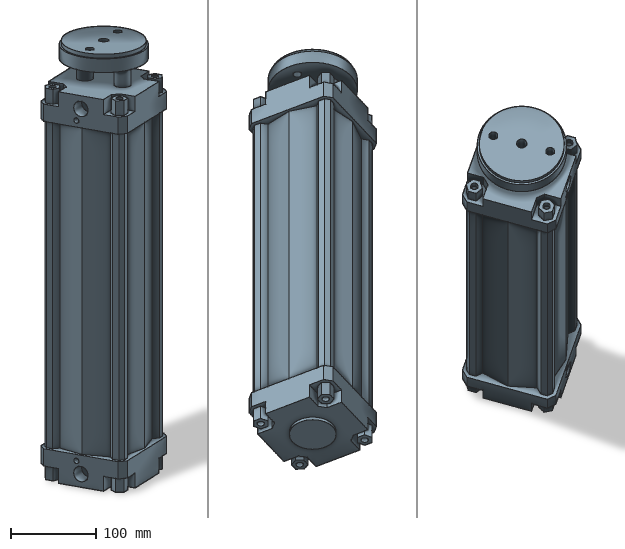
import cadquery as cq
import math

total_height = 543.0
boss_height = 4.0
cap_height = 40.0
rod_gap = 29.4
plate_thickness = 22.0
plate_bottom = total_height - plate_thickness
upper_cap_top = plate_bottom - rod_gap
upper_cap_bottom = upper_cap_top - cap_height
lower_cap_bottom = boss_height
lower_cap_top = lower_cap_bottom + cap_height
barrel_length = upper_cap_bottom - lower_cap_top

cap_width = 115.0
cap_chamfer = 8.0
boss_diameter = 55.0

pocket_wall = 30.0
pocket_depth = 18.5
screw_offset = 44.5
pocket_chamfer = 7.5
head_across_flats = 17.0
head_across_corners = head_across_flats / math.cos(math.radians(30))
head_hole_diameter = 8.5
head_hole_depth = 8.0
drill_tip_angle = 118.0
corner_angles = (0, 90, 180, 270)

port_diameter = 19.0
port_depth = 20.0
port_inset = 16.5
side_hole_diameter = 6.5
side_hole_depth = 20.0
side_hole_inset = 32.0
side_hole_x = -6.0

ridge_apex = 54.5
post_face = 53.0
post_inner = 40.0
post_outer = 48.0
flank_end = 33.5
flank_face = post_face - (post_inner - flank_end)

rod_diameter = 20.0
rod_offset = 25.0
plate_diameter = 105.0
plate_top_diameter = 100.0
plate_step_height = 5.0
plate_center_hole = 11.84
plate_side_hole = 10.11
plate_side_hole_offset = 35.0


def make_barrel():
    """Extruded barrel with a shallow ridge on each side and four corner posts."""
    side = [
        (-post_outer, -post_face),
        (-post_inner, -post_face),
        (-flank_end, -flank_face),
        (0, -ridge_apex),
        (flank_end, -flank_face),
        (post_inner, -post_face),
        (post_outer, -post_face),
    ]
    outline = []
    for angle in corner_angles:
        c = round(math.cos(math.radians(angle)))
        s = round(math.sin(math.radians(angle)))
        outline += [(c * x - s * y, s * x + c * y) for x, y in side]
    profile = cq.Workplane("XY").workplane(offset=lower_cap_top)
    return profile.polyline(outline).close().extrude(barrel_length)


def make_pocket():
    """Cutter for the pocket in the -X, -Y corner, open to both side faces."""
    size = cap_width / 2 - pocket_wall
    center = -(pocket_wall + size / 2)
    return (
        cq.Workplane("XY")
        .workplane(offset=cap_height - pocket_depth)
        .center(center, center)
        .rect(size, size)
        .extrude(pocket_depth)
        .edges("|Z and >X and >Y")
        .chamfer(pocket_chamfer)
    )


def make_screw_head():
    """Hexagonal head in the -X, -Y corner, flush with the cap, with a drilled blind hole."""
    head = (
        cq.Workplane("XY")
        .workplane(offset=cap_height - pocket_depth)
        .center(-screw_offset, -screw_offset)
        .polygon(6, head_across_corners)
        .extrude(pocket_depth)
    )
    hole_radius = head_hole_diameter / 2
    tip_depth = hole_radius / math.tan(math.radians(drill_tip_angle / 2))
    drill = (
        cq.Workplane("XZ")
        .moveTo(0, 0)
        .lineTo(hole_radius, 0)
        .lineTo(hole_radius, -head_hole_depth)
        .lineTo(0, -head_hole_depth - tip_depth)
        .close()
        .revolve(360, (0, 0), (0, 1))
        .translate((-screw_offset, -screw_offset, cap_height))
    )
    return head.cut(drill)


def face_hole(diameter, depth, x, inset):
    """Cutter for a blind hole in the -Y face, placed from the outer end of the cap."""
    return (
        cq.Workplane("XZ", origin=(x, -cap_width / 2, cap_height - inset))
        .circle(diameter / 2)
        .extrude(-depth)
    )


def make_cap():
    """End cap standing on Z = 0 with its outer end facing +Z."""
    cap = (
        cq.Workplane("XY")
        .rect(cap_width, cap_width)
        .extrude(cap_height)
        .edges("|Z")
        .chamfer(cap_chamfer)
    )
    pocket = make_pocket()
    head = make_screw_head()
    for angle in corner_angles:
        cap = cap.cut(pocket.rotate((0, 0, 0), (0, 0, 1), angle))
        cap = cap.union(head.rotate((0, 0, 0), (0, 0, 1), angle))
    cap = cap.cut(face_hole(port_diameter, port_depth, 0, port_inset))
    return cap.cut(face_hole(side_hole_diameter, side_hole_depth, side_hole_x, side_hole_inset))


def make_housing():
    """Barrel between two mirrored caps, with a round boss underneath."""
    cap = make_cap()
    upper_cap = cap.translate((0, 0, upper_cap_bottom))
    lower_cap = cap.mirror("XY").translate((0, 0, lower_cap_top))
    boss = cq.Workplane("XY").circle(boss_diameter / 2).extrude(boss_height)
    return make_barrel().union(upper_cap).union(lower_cap).union(boss)


def make_rod_plate():
    """Stepped round plate carried by two rods that reach down to the upper cap."""
    plate = (
        cq.Workplane("XY")
        .workplane(offset=plate_bottom)
        .circle(plate_diameter / 2)
        .extrude(plate_thickness - plate_step_height)
        .faces(">Z")
        .workplane()
        .circle(plate_top_diameter / 2)
        .extrude(plate_step_height)
    )
    plate = plate.faces(">Z").workplane().hole(plate_center_hole)
    side_holes = [(0, -plate_side_hole_offset), (0, plate_side_hole_offset)]
    plate = plate.faces(">Z").workplane().pushPoints(side_holes).hole(plate_side_hole)
    rods = (
        cq.Workplane("XY")
        .workplane(offset=upper_cap_top)
        .pushPoints([(-rod_offset, 0), (rod_offset, 0)])
        .circle(rod_diameter / 2)
        .extrude(rod_gap)
    )
    return plate.union(rods)


housing = make_housing()
rod_plate = make_rod_plate()

result = cq.Compound.makeCompound([housing.val(), rod_plate.val()])